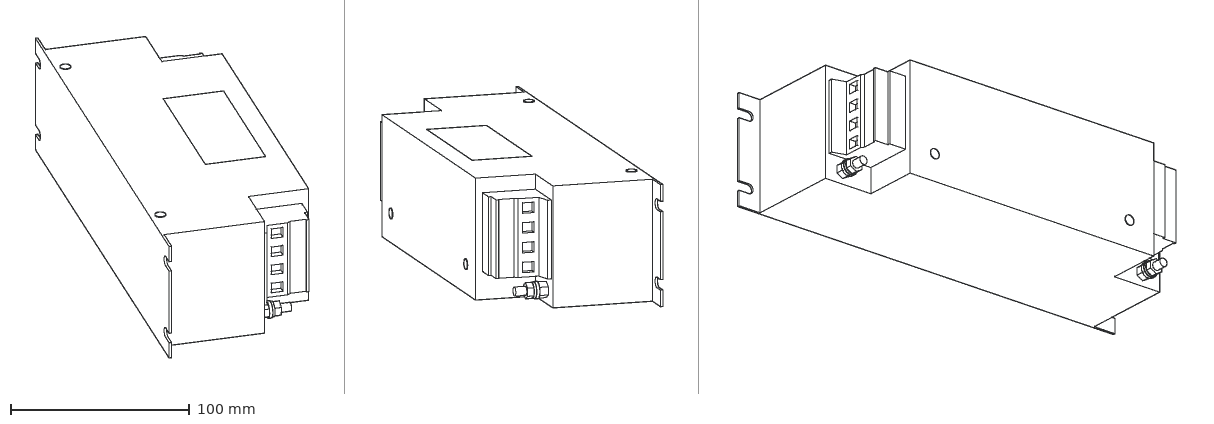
import cadquery as cq
import math


plate_length = 270.0
plate_thickness = 1.48
slot_width = 6.0
slot_depth = 10.0
slot_spacing = 44.8

housing_height = 70.0
housing_depth = 95.0
housing_length = 240.0
rear_length = 175.0
step_y = 60.0

label_length = 85.0
label_width = 35.0
label_y = 65.3
label_thickness = 0.14

head_diameter = 6.2
head_rim_height = 0.4
head_height = 1.0
top_screw_spacing = 191.7
top_screw_y = 6.2
back_screw_spacing = 139.9
back_screw_z = 17.0

block_bottom = 16.2
block_height = 45.0
block_foot_x = 117.5
block_face_x = 108.5
block_upper_x = 107.2
block_lip_x = 108.0
block_shoulder_x = 98.8
foot_top_y = 62.0
face_front_y = 64.5
face_back_y = 76.7
upper_front_y = 78.5
lip_y = 87.8
block_back_y = 89.5
shoulder_back_y = 91.0

opening_count = 4
opening_pitch = 11.3
opening_height = 6.0
opening_width = 6.8
opening_depth = 4.0

stud_x = 107.7
stud_z = 8.0
stud_diameter = 5.0
stud_end_y = 78.5
nut_across_flats = 8.0
inner_nut_end_y = 65.0
washer_diameter = 10.0
washer_end_y = 67.0
spring_washer_diameter = 9.2
spring_washer_end_y = 68.3
outer_nut_end_y = 72.0


def box_between(length, y_start, y_end):
    """Full-height box, centred on X = 0, between two Y positions."""
    depth = y_end - y_start
    box = cq.Workplane("XY").box(length, depth, housing_height, centered=(True, False, False))
    return box.translate((0, y_start, 0))


def make_plate():
    """Mounting plate with two open-ended slots in each end."""
    plate = box_between(plate_length, 0, plate_thickness)
    slot_length = 2 * slot_depth
    for x in (-plate_length / 2, plate_length / 2):
        for side in (-1, 1):
            z = housing_height / 2 + side * slot_spacing / 2
            slot = (
                cq.Workplane("XZ", origin=(x, 0, z))
                .slot2D(slot_length, slot_width)
                .extrude(plate_thickness, both=True)
            )
            plate = plate.cut(slot)
    return plate


def make_housing():
    """Stepped housing with the thin nameplate on its upper face."""
    front = box_between(housing_length, plate_thickness, step_y)
    rear = box_between(rear_length, step_y, housing_depth)
    label = (
        cq.Workplane("XY", origin=(0, label_y, housing_height))
        .rect(label_length, label_width)
        .extrude(label_thickness)
    )
    return front.union(rear).union(label)


def make_screw_head():
    """Spherical cap on a low cylindrical rim, standing on the XY plane."""
    radius = head_diameter / 2
    dome_height = head_height - head_rim_height
    rise = dome_height / 2
    sphere_radius = (radius**2 + dome_height**2) / (2 * dome_height)
    mid_radius = math.sqrt(sphere_radius**2 - (sphere_radius - rise) ** 2)
    return (
        cq.Workplane("XZ")
        .lineTo(radius, 0)
        .lineTo(radius, head_rim_height)
        .threePointArc((mid_radius, head_rim_height + rise), (0, head_height))
        .close()
        .revolve(360, (0, 0), (0, 1))
    )


def make_terminal_block():
    """Terminal block of the -X end, with its row of wire openings."""
    root_x = -rear_length / 2
    block = (
        cq.Workplane("XY", origin=(0, 0, block_bottom))
        .polyline([
            (root_x, step_y),
            (-block_foot_x, step_y),
            (-block_foot_x, foot_top_y),
            (-block_face_x, face_front_y),
            (-block_face_x, face_back_y),
            (-block_upper_x, upper_front_y),
            (-block_upper_x, lip_y),
            (-block_lip_x, lip_y),
            (-block_lip_x, block_back_y),
            (-block_shoulder_x, block_back_y),
            (-block_shoulder_x, shoulder_back_y),
            (root_x, shoulder_back_y),
        ])
        .close()
        .extrude(block_height)
    )
    opening_y = (face_front_y + face_back_y) / 2
    block_middle_z = block_bottom + block_height / 2
    openings = (
        cq.Workplane("YZ", origin=(-block_face_x, opening_y, block_middle_z))
        .rarray(2.7, opening_pitch, 1, opening_count)
        .rect(opening_width, opening_height)
        .extrude(opening_depth)
    )
    return block.cut(openings)


def make_earth_stud():
    """Stud of the -X end with its nuts and washers, along Y from the step."""
    def section(y_start):
        return cq.Workplane("XZ", origin=(-stud_x, y_start, stud_z))

    def disc(diameter, y_start, y_end):
        return section(y_start).circle(diameter / 2).extrude(y_start - y_end)

    def nut(y_start, y_end):
        corner_diameter = nut_across_flats / math.cos(math.pi / 6)
        hexagon = section(y_start).polygon(6, corner_diameter).extrude(y_start - y_end)
        return hexagon.rotate((-stud_x, 0, stud_z), (-stud_x, 1, stud_z), 90)

    stud = disc(stud_diameter, step_y, stud_end_y)
    stud = stud.union(nut(step_y, inner_nut_end_y))
    stud = stud.union(disc(washer_diameter, inner_nut_end_y, washer_end_y))
    stud = stud.union(disc(spring_washer_diameter, washer_end_y, spring_washer_end_y))
    return stud.union(nut(spring_washer_end_y, outer_nut_end_y))


result = make_plate().union(make_housing())

top_head = make_screw_head()
back_head = top_head.rotate((0, 0, 0), (1, 0, 0), -90)
for side in (-1, 1):
    top_place = (side * top_screw_spacing / 2, top_screw_y, housing_height)
    back_place = (side * back_screw_spacing / 2, housing_depth, back_screw_z)
    result = result.union(top_head.translate(top_place))
    result = result.union(back_head.translate(back_place))

end_fittings = (make_terminal_block(), make_earth_stud())
for fitting in end_fittings:
    result = result.union(fitting)
    result = result.union(fitting.mirror("YZ"))